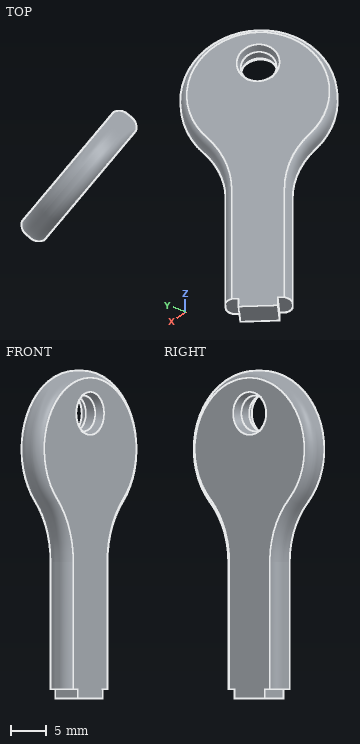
import cadquery as cq
import math

TURN_ANGLE = 50.0

total_height = 45.8
thickness = 4.1

head_radius = 11.0
shank_half_width = 4.7
tip_width = 5.5
tip_height = 1.3
neck_start_z = 19.1

band_width = 0.92
rim_radius = 1.75

hole_radius = 2.5
hole_mouth_radius = 3.0
hole_straight_length = 1.7
hole_above_head_center = 5.0

head_center_z = total_height - head_radius
hole_center_z = head_center_z + hole_above_head_center

neck_rise = head_center_z - neck_start_z
head_overhang = head_radius - shank_half_width
neck_radius = (shank_half_width**2 + neck_rise**2 - head_radius**2) / (2 * head_overhang)
neck_center_x = shank_half_width + neck_radius
neck_angle = math.atan2(neck_rise, neck_center_x)
head_tangent_x = head_radius * math.cos(neck_angle)
head_tangent_z = head_center_z - head_radius * math.sin(neck_angle)
neck_mid_x = neck_center_x - neck_radius * math.cos(neck_angle / 2)
neck_mid_z = neck_start_z + neck_radius * math.sin(neck_angle / 2)


def slab(width, bottom_z, top_z):
    """Box as thick as the finished key, centred on its middle plane."""
    height = top_z - bottom_z
    box = cq.Workplane("XY").box(width, thickness, height, centered=(True, True, False))
    return box.translate((0, 0, bottom_z))


def rounded_body():
    """Head, neck and shank with rounded rim, cut flat at both faces."""
    outline = (
        cq.Workplane("XZ")
        .moveTo(-shank_half_width, 0)
        .lineTo(shank_half_width, 0)
        .lineTo(shank_half_width, neck_start_z)
        .threePointArc((neck_mid_x, neck_mid_z), (head_tangent_x, head_tangent_z))
        .threePointArc((0, total_height), (-head_tangent_x, head_tangent_z))
        .threePointArc((-neck_mid_x, neck_mid_z), (-shank_half_width, neck_start_z))
        .close()
    )
    blank = outline.extrude(band_width / 2 + rim_radius, both=True)
    blank = blank.faces("<Y or >Y").edges("not <Z").fillet(rim_radius)
    return blank.intersect(slab(2 * head_radius, tip_height, total_height))


def keyring_hole():
    """Cutter for the hole, revolved about its axis along Y."""
    half_straight = hole_straight_length / 2
    half_thickness = thickness / 2
    profile = (
        cq.Workplane("XY")
        .moveTo(0, -half_thickness)
        .lineTo(hole_mouth_radius, -half_thickness)
        .lineTo(hole_radius, -half_straight)
        .lineTo(hole_radius, half_straight)
        .lineTo(hole_mouth_radius, half_thickness)
        .lineTo(0, half_thickness)
        .close()
    )
    return profile.revolve(360, (0, 0), (0, 1)).translate((0, 0, hole_center_z))


tip = slab(tip_width, 0, tip_height)
key = rounded_body().union(tip).cut(keyring_hole())
result = key.rotate((0, 0, 0), (0, 0, 1), TURN_ANGLE)